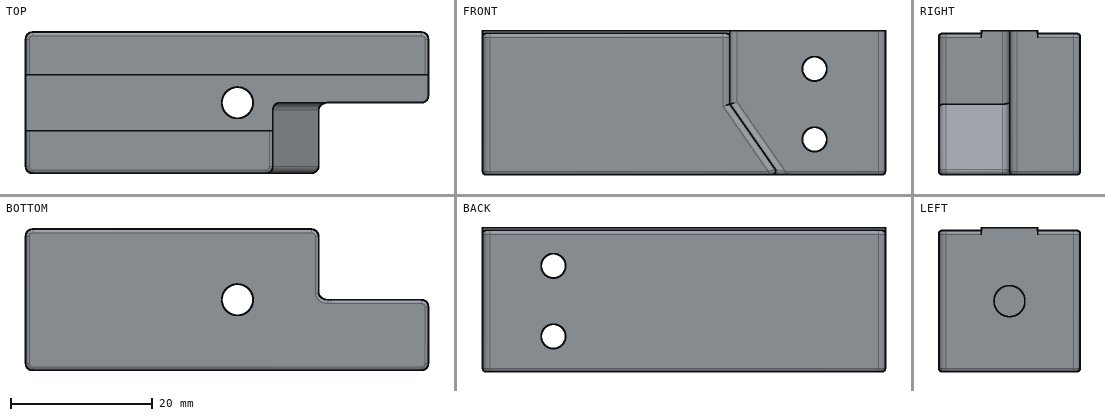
import cadquery as cq

length = 57.0
width = 20.0
body_height = 20.0
corner_radius = 1.0
rim_radius = 0.5

strip_width = 8.0
strip_height = 0.4

notch_x = 35.0
notch_knee_z = body_height / 2
slope_run = 6.95

cross_hole_diameter = 3.4
cross_hole_x = 46.95
cross_hole_heights = (5.0, 15.0)
bore_diameter = 4.4
vertical_bore_x = 30.0
end_bore_depth = 20.0

front_y = -width / 2
total_height = body_height + strip_height


def rounded_block():
    """L-shaped block, before the rims are rounded."""
    back = cq.Workplane("XY").box(length, width / 2, total_height, centered=False)
    front_half = (
        cq.Workplane("XZ")
        .polyline([
            (0, 0),
            (notch_x + slope_run, 0),
            (notch_x, notch_knee_z),
            (notch_x, total_height),
            (0, total_height),
        ])
        .close()
        .extrude(width / 2)
    )
    block = back.union(front_half)
    upright_edges = block.edges("(not #Z) and (not |Y)")
    return upright_edges.fillet(corner_radius)


def round_rims(block):
    """Cut the block to body height and round its top and bottom rims."""
    cover = (
        cq.Workplane("XY", origin=(0, 0, body_height))
        .box(3 * length, 3 * width, length, centered=(True, True, False))
    )
    body = block.cut(cover)
    body = body.faces(">Z").edges().fillet(rim_radius)
    return body.faces("<Z").edges().fillet(rim_radius)


def top_strip(block):
    """Sharp-edged strip following the block outline, sunk to the foot of the rim rounding."""
    strip_zone = (
        cq.Workplane("XY", origin=(0, 0, body_height - rim_radius))
        .box(3 * length, strip_width, length, centered=(True, True, False))
    )
    return block.intersect(strip_zone)


def drill_holes(part):
    for height in cross_hole_heights:
        cross_hole = (
            cq.Workplane("XZ", origin=(cross_hole_x, front_y, height))
            .circle(cross_hole_diameter / 2)
            .extrude(-2 * width)
        )
        part = part.cut(cross_hole)
    vertical_bore = (
        cq.Workplane("XY")
        .center(vertical_bore_x, 0)
        .circle(bore_diameter / 2)
        .extrude(total_height)
    )
    end_bore = (
        cq.Workplane("YZ", origin=(0, 0, body_height / 2))
        .circle(bore_diameter / 2)
        .extrude(end_bore_depth)
    )
    return part.cut(vertical_bore).cut(end_bore)


outline_block = rounded_block()
body = round_rims(outline_block)
result = drill_holes(body.union(top_strip(outline_block)))